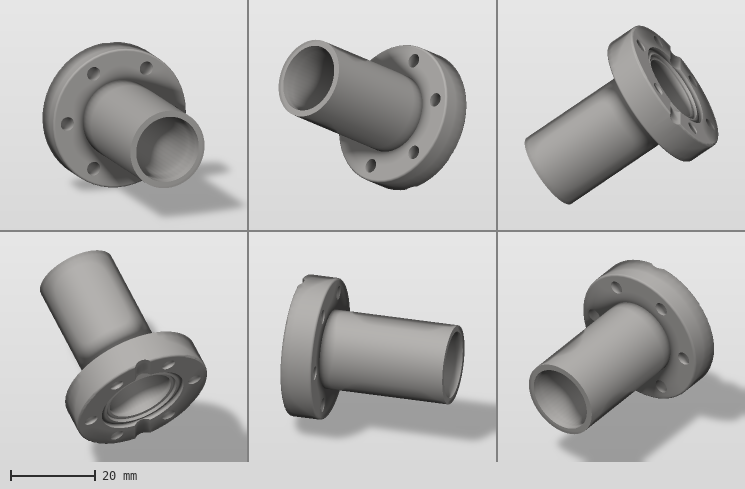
import cadquery as cq
import math

length = 38.0
flange_diameter = 34.0
flange_thickness = 7.6
flange_rounding = 0.5
tube_diameter = 19.0
bore_diameter = 16.0

recess_diameter = 21.4
knife_diameter = 18.25
knife_depth = 0.6
knife_slope = 20.0
inner_step_diameter = 17.85
inner_step_depth = 1.33

bolt_count = 6
bolt_circle_diameter = 26.98
bolt_hole_diameter = 3.35

groove_width = 4.0
groove_depth = 1.0


def make_body():
    flange = cq.Workplane("YZ").circle(flange_diameter / 2).extrude(flange_thickness)
    flange = flange.edges().fillet(flange_rounding)
    tube = cq.Workplane("YZ").circle(tube_diameter / 2).extrude(length)
    return flange.union(tube)


def make_bore_and_recess():
    """Revolve the space inside the part; profile points are (X, radius)."""
    knife_fall = (recess_diameter - knife_diameter) / 2 * math.tan(math.radians(knife_slope))
    profile = [
        (0, 0),
        (0, recess_diameter / 2),
        (knife_depth + knife_fall, recess_diameter / 2),
        (knife_depth, knife_diameter / 2),
        (inner_step_depth, inner_step_diameter / 2),
        (inner_step_depth, bore_diameter / 2),
        (length, bore_diameter / 2),
        (length, 0),
    ]
    return cq.Workplane("XY").polyline(profile).close().revolve(360, (0, 0, 0), (1, 0, 0))


def make_bolt_holes():
    return (
        cq.Workplane("YZ")
        .polarArray(bolt_circle_diameter / 2, 0, 360, bolt_count)
        .circle(bolt_hole_diameter / 2)
        .extrude(flange_thickness)
    )


def make_leak_groove():
    """Round-bottomed groove along Z, open on both sides of the rim.

    It is limited to the ring outside the recess, so the knife edge stays whole.
    """
    half_width = groove_width / 2
    cutter = (
        cq.Workplane("XY")
        .moveTo(0, -half_width)
        .threePointArc((groove_depth, 0), (0, half_width))
        .close()
        .extrude(flange_diameter / 2, both=True)
    )
    knife_keepout = cq.Workplane("YZ").circle(recess_diameter / 2).extrude(flange_thickness)
    return cutter.cut(knife_keepout)


result = (
    make_body()
    .cut(make_bore_and_recess())
    .cut(make_bolt_holes())
    .cut(make_leak_groove())
)